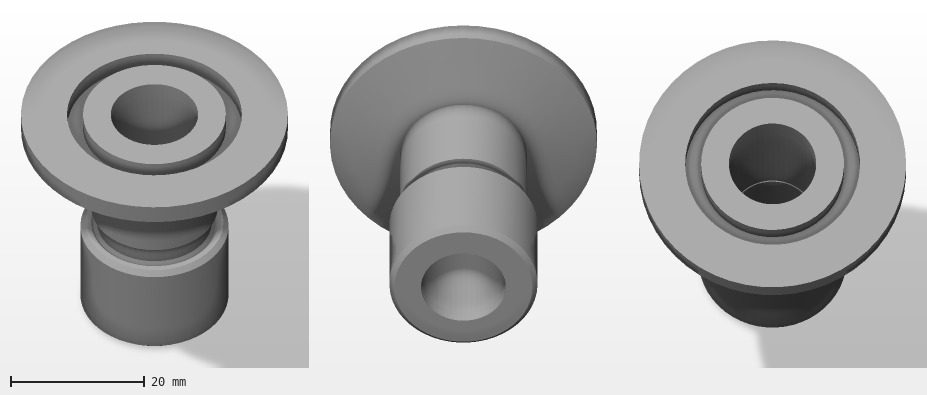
import cadquery as cq

height = 38.25

flange_diameter = 40
rim_thickness = 3.1
taper_height = 2.75

recess_diameter = 26.2
recess_depth = 2.8
hub_diameter = 21.4

stem_diameter = 19.0
stem_bottom = 19.15
neck_diameter = 17.3

collar_diameter = 22.2
collar_height = 15.85
collar_chamfer = 0.75

groove_outer_diameter = stem_diameter
groove_bottom_diameter = 18.35
groove_depth = (groove_outer_diameter - groove_bottom_diameter) / 2
groove_bottom = collar_height - groove_depth
foot_height = (groove_bottom_diameter - neck_diameter) / 2

upper_bore_diameter = 13.1
lower_bore_diameter = 12.72
lower_bore_height = collar_height


def cylinder(diameter, bottom, top):
    """Upright cylinder between two heights."""
    return cq.Workplane("XY").workplane(offset=bottom).circle(diameter / 2).extrude(top - bottom)


def cone(bottom_diameter, top_diameter, bottom, top):
    """Upright truncated cone between two heights."""
    return (
        cq.Workplane("XY")
        .workplane(offset=bottom)
        .circle(bottom_diameter / 2)
        .workplane(offset=top - bottom)
        .circle(top_diameter / 2)
        .loft(ruled=True)
    )


def make_flange():
    rim_bottom = height - rim_thickness
    rim = cylinder(flange_diameter, rim_bottom, height)
    taper = cone(stem_diameter, flange_diameter, rim_bottom - taper_height, rim_bottom)
    recess = cylinder(recess_diameter, height - recess_depth, height)
    hub = cylinder(hub_diameter, height - recess_depth, height)
    return rim.union(taper).cut(recess).union(hub)


def make_stem():
    stem = cylinder(stem_diameter, stem_bottom, height - recess_depth)
    neck = cylinder(neck_diameter, groove_bottom, stem_bottom)
    foot = cone(groove_bottom_diameter, neck_diameter, groove_bottom, groove_bottom + foot_height)
    return stem.union(neck).union(foot)


def make_collar():
    collar = cylinder(collar_diameter, 0, collar_height).edges().chamfer(collar_chamfer)
    groove = cone(groove_bottom_diameter, groove_outer_diameter, groove_bottom, collar_height)
    return collar.cut(groove)


def make_bore():
    lower = cylinder(lower_bore_diameter, 0, lower_bore_height)
    upper = cylinder(upper_bore_diameter, lower_bore_height, height)
    return lower.union(upper)


result = make_flange().union(make_stem()).union(make_collar()).cut(make_bore())